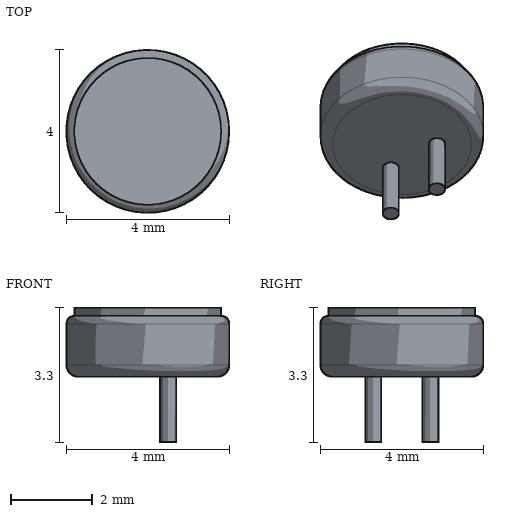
import cadquery as cq

body_diameter = 4.0
body_height = 1.5
top_rounding = 0.2
bottom_rounding = 0.3

cap_diameter = 3.6
cap_height = 0.2

pin_diameter = 0.4
pin_length = 1.6
pin_offset_x = 0.5
pin_spacing_y = 1.4


def make_body():
    """Cylindrical can with rounded upper and lower rims."""
    can = cq.Workplane("XY").circle(body_diameter / 2).extrude(body_height)
    can = can.faces(">Z").edges().fillet(top_rounding)
    return can.faces("<Z").edges().fillet(bottom_rounding)


def make_cap():
    """Flat disc standing on the top face of the can."""
    return (
        cq.Workplane("XY")
        .workplane(offset=body_height)
        .circle(cap_diameter / 2)
        .extrude(cap_height)
    )


def make_pin(y):
    """Round lead hanging from the underside of the can."""
    return (
        cq.Workplane("XY")
        .center(pin_offset_x, y)
        .circle(pin_diameter / 2)
        .extrude(-pin_length)
    )


result = make_body().union(make_cap())
for side in (-1, 1):
    result = result.union(make_pin(side * pin_spacing_y / 2))